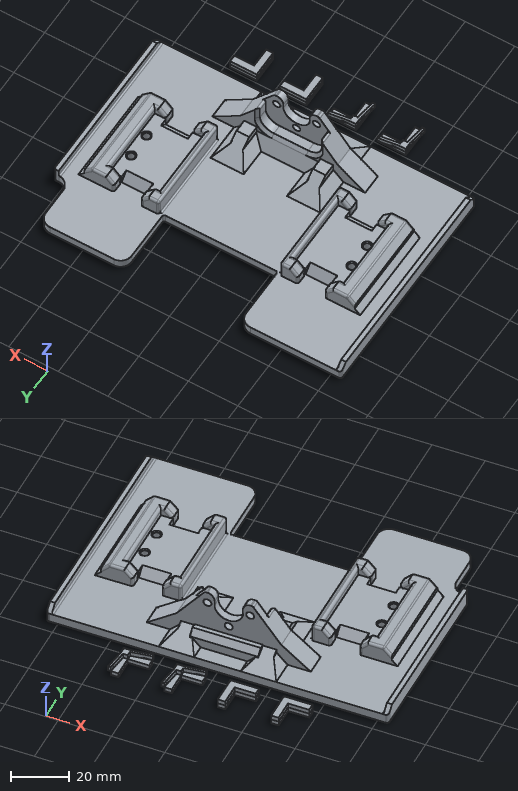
import cadquery as cq
import math


plate_half_width = 64.2
plate_depth = 87.3
plate_top = 3.66
plate_corner = 1.0
slot_half_width = 23.07
slot_floor_y = 62.2
slot_corner = 0.8
tab_radius = 4.5
right_tab_x = 57.8
step_y = 67.1

rail_top = 6.4
rail_width = 1.9
rail_end_slope = 3.1
rail_root_radius = 0.6

clamp_top = 10.47
clamp_half_length = 19.4
clamp_rise = 3.1
clamp_inner_x = 24.48
clamp_inner_tip_x = 31.7
clamp_outer_tip_x = 42.5
clamp_ledge_x = 54.6
ledge_bottom = 5.9
ledge_top = 7.52
clamp_round = 0.96
clamp_root_radius = 0.6

pocket_near_x = 27.05
pocket_far_x = 47.1
pocket_half_length = 14.45
pocket_round = 1.22
pad_top = 6.87
pad_hole_x = 44.53
pad_hole_pitch = 10.0
pad_hole_diameter = 2.8
pad_hole_mouth = 3.7

bracket_front = 9.57
bracket_web_back = 12.79
bracket_back = 17.9
bracket_top = 26.0
bracket_foot_x = 30.8
bracket_kink_x = 19.7
bracket_kink_z = 12.1
bracket_apex_x = 9.0
apex_round = 1.0
horn_round = 2.76
mount_z = 21.3
mount_radius = 8.03
mount_hole_diameter = 3.0
mount_opening_radius = 5.33
recess_half_width = 12.5
recess_round = 5.5
recess_chamfer = 1.35
shoulder_round = 0.6

gusset_inner_x = 12.8
gusset_outer_x = 18.0
gusset_flare = 4.1
gusset_top = 10.47
gusset_crest_front = 11.8
gusset_crest_back = 22.9
gusset_back = 33.2
tie_top = 9.57
tie_front = 5.5
tie_chamfer = 2.25
buttress_foot_y = 21.7

corner_count = 4
corner_first_x = -32.8
corner_pitch = 20.0
corner_back_y = -5.4
corner_size = 10.8
corner_arm = 2.8
corner_layer = 1.8
spring_count = 2
spring_thickness = 1.0
spring_splay = 1.09

TOLERANCE = 0.01

clamp_center_y = plate_depth / 2
arm_tip_z = clamp_top - clamp_rise
pad_height = pad_top - plate_top


def box(x0, x1, y0, y1, z0, z1):
    """Box between two opposite corners."""
    return cq.Workplane("XY").box(x1 - x0, y1 - y0, z1 - z0, centered=False).translate((x0, y0, z0))


def prism_along_y(points, y0, y1):
    """Extrude an X-Z outline from y0 to y1."""
    return cq.Workplane("XZ").polyline(points).close().extrude(y0 - y1).translate((0, y0, 0))


def prism_along_x(points, x0, x1):
    """Extrude a Y-Z outline from x0 to x1."""
    return cq.Workplane("YZ").polyline(points).close().extrude(x1 - x0).translate((x0, 0, 0))


def mirrored_pair(shape):
    """A shape together with its mirror image about X = 0."""
    return shape.union(shape.mirror("YZ"))


def root_fillet_profile(wall_x, side, radius):
    """X-Z profile of the concave fillet between the plate and a wall facing the given side."""
    arc_offset = side * radius * (1 - math.sqrt(0.5))
    return (
        cq.Workplane("XZ")
        .moveTo(wall_x, plate_top)
        .lineTo(wall_x + side * radius, plate_top)
        .threePointArc((wall_x + arc_offset, plate_top + abs(arc_offset)), (wall_x, plate_top + radius))
        .close()
    )


def round_uprights(solid, corners, radius):
    """Fillet the vertical edges that stand on the given X-Y corners."""
    height = solid.val().BoundingBox().zmax
    for x, y in corners:
        solid = solid.edges(cq.selectors.NearestToPointSelector((x, y, height / 2))).fillet(radius)
    return solid


def make_plate(height):
    """The plate outline, extruded from the underside to the given height."""
    back_corners = [
        (plate_half_width, step_y),
        (right_tab_x, step_y),
        (right_tab_x, plate_depth),
        (slot_half_width, plate_depth),
        (slot_half_width, slot_floor_y),
        (-slot_half_width, slot_floor_y),
        (-slot_half_width, plate_depth),
        (-plate_half_width, plate_depth),
    ]
    front_corners = [(-plate_half_width, 0), (plate_half_width, 0)]
    plate = cq.Workplane("XY").polyline(front_corners + back_corners).close().extrude(height)
    step, tab, tab_left, slot_right, slot_left, tab_right = back_corners[1:-1]
    plate = round_uprights(plate, [step, tab, tab_left, tab_right], tab_radius)
    plate = round_uprights(plate, [slot_right, slot_left], slot_corner)
    return round_uprights(plate, front_corners + [back_corners[0], back_corners[-1]], plate_corner)


def make_rails():
    """Rails along both sides with filleted roots, sloped down at the plate's front and back edges."""
    inner_x = plate_half_width - rail_width
    rail = box(inner_x, plate_half_width, 0, plate_depth, plate_top, rail_top)
    root = root_fillet_profile(inner_x, -1, rail_root_radius).extrude(-plate_depth)
    slope = [
        (0, plate_top),
        (rail_end_slope, rail_top),
        (plate_depth - rail_end_slope, rail_top),
        (plate_depth, plate_top),
    ]
    sloped_ends = prism_along_x(slope, -plate_half_width, plate_half_width)
    return mirrored_pair(rail.union(root)).intersect(sloped_ends).intersect(make_plate(rail_top))


def round_jaw(jaw, tip_x, pocket_x):
    """Round the pocket rim of a jaw, then its end faces and its long outer top edge."""

    def at(value, target):
        return abs(value - target) < TOLERANCE

    def on_rim(c):
        along_arm = at(abs(c.y), pocket_half_length) and not at(c.x, pocket_x) and c.z > pad_top
        arm_corner = at(abs(c.y), pocket_half_length) and at(c.x, tip_x)
        along_wall = at(c.x, pocket_x) and at(c.z, clamp_top)
        return along_arm or arm_corner or along_wall

    def on_end(c):
        end_face = at(abs(c.y), clamp_half_length) and c.z > plate_top + TOLERANCE
        above_ledge = c.x < clamp_ledge_x - TOLERANCE
        long_edge = at(c.y, 0) and at(c.z, clamp_top) and abs(c.x - pocket_x) > pocket_round + TOLERANCE
        return (end_face and above_ledge) or long_edge

    for chosen, radius in ((on_rim, pocket_round), (on_end, clamp_round)):
        edges = [edge for edge in jaw.edges().vals() if chosen(edge.Center())]
        jaw = jaw.newObject(edges).fillet(radius)
    return jaw


def make_clamp():
    """Two facing C-shaped jaws around a raised pad."""
    inner_profile = [
        (clamp_inner_x, plate_top),
        (clamp_inner_x, clamp_top),
        (clamp_inner_tip_x - clamp_rise, clamp_top),
        (clamp_inner_tip_x, arm_tip_z),
        (clamp_inner_tip_x, plate_top),
    ]
    outer_profile = [
        (clamp_outer_tip_x, plate_top),
        (clamp_outer_tip_x, arm_tip_z),
        (clamp_outer_tip_x + clamp_rise, clamp_top),
        (clamp_ledge_x - (clamp_top - ledge_top), clamp_top),
        (clamp_ledge_x, ledge_top),
        (clamp_ledge_x, ledge_bottom),
        (clamp_ledge_x + ledge_bottom - plate_top, plate_top),
    ]
    pocket = box(
        pocket_near_x, pocket_far_x, -pocket_half_length, pocket_half_length, plate_top, clamp_top
    )
    clamp = make_pad()
    for profile, tip_x, pocket_x in (
        (inner_profile, clamp_inner_tip_x, pocket_near_x),
        (outer_profile, clamp_outer_tip_x, pocket_far_x),
    ):
        jaw = prism_along_y(profile, -clamp_half_length, clamp_half_length).cut(pocket)
        clamp = clamp.union(round_jaw(jaw, tip_x, pocket_x))
    straight_length = 2 * (clamp_half_length - clamp_round)
    root = root_fillet_profile(clamp_inner_x, -1, clamp_root_radius).extrude(straight_length / 2, both=True)
    clamp = clamp.union(root)
    return clamp.translate((0, clamp_center_y, 0))


def make_pad():
    """Raised floor of the pocket, ramped down to the plate between the arm tips."""
    pad = box(pocket_near_x, pocket_far_x, -pocket_half_length, pocket_half_length, plate_top, pad_top)
    for side in (-1, 1):
        ramp_cut = [
            (side * pocket_half_length, plate_top),
            (side * pocket_half_length, pad_top),
            (side * (pocket_half_length - pad_height), pad_top),
        ]
        pad = pad.cut(prism_along_x(ramp_cut, clamp_inner_tip_x, clamp_outer_tip_x))
    return pad


def make_pad_holes():
    """Two screw holes with countersunk mouths through the pad and the plate."""
    mouth_depth = (pad_hole_mouth - pad_hole_diameter) / 2
    holes = cq.Workplane("XY")
    for side in (-1, 1):
        center = (pad_hole_x, clamp_center_y + side * pad_hole_pitch / 2, 0)
        drill = cq.Solid.makeCylinder(pad_hole_diameter / 2, pad_top)
        mouth = cq.Solid.makeCone(
            pad_hole_diameter / 2, pad_hole_mouth / 2, mouth_depth, cq.Vector(0, 0, pad_top - mouth_depth)
        )
        holes = holes.add(drill.fuse(mouth).translate(cq.Vector(*center)))
    return holes.combine()


def make_bracket():
    """Thin front web with the mounting opening, backed by a block with a wide recess."""
    slope = (bracket_top - bracket_kink_z) / (bracket_kink_x - bracket_apex_x)
    shoulder_z = bracket_kink_z + slope * (bracket_kink_x - recess_half_width)
    outline = [
        (-bracket_foot_x, plate_top),
        (-bracket_kink_x, bracket_kink_z),
        (-bracket_apex_x, bracket_top),
        (bracket_apex_x, bracket_top),
        (bracket_kink_x, bracket_kink_z),
        (bracket_foot_x, plate_top),
    ]
    web = prism_along_y(outline, bracket_front, bracket_web_back).cut(make_mount_opening())
    web = round_peaks(web, bracket_apex_x, bracket_top, apex_round)
    web = round_peaks(web, mount_opening_radius, bracket_top, horn_round)
    block = prism_along_y(outline, bracket_web_back, bracket_back).cut(make_rear_recess())
    block = round_peaks(block, recess_half_width, shoulder_z, shoulder_round)
    return web.union(block.cut(make_recess_flare())).cut(make_mount_holes())


def round_peaks(solid, x, z, radius):
    """Round the two edges along Y that stand at +-x and height z."""
    bounds = solid.val().BoundingBox()
    middle_y = (bounds.ymin + bounds.ymax) / 2
    for peak_x in (-x, x):
        peak = cq.selectors.NearestToPointSelector((peak_x, middle_y, z))
        solid = solid.edges(peak).fillet(radius)
    return solid


def make_mount_opening():
    """U-shaped opening around the mounting axis, open at the top."""
    radius = mount_opening_radius
    return (
        cq.Workplane("XZ")
        .moveTo(-radius, bracket_top)
        .lineTo(-radius, mount_z)
        .threePointArc((0, mount_z - radius), (radius, mount_z))
        .lineTo(radius, bracket_top)
        .close()
        .extrude(-bracket_web_back)
    )


def make_mount_holes():
    """Three screw holes on the mounting circle: left, right and below its axis."""
    centers = [(-mount_radius, mount_z), (mount_radius, mount_z), (0, mount_z - mount_radius)]
    return cq.Workplane("XZ").pushPoints(centers).circle(mount_hole_diameter / 2).extrude(-bracket_web_back)


def recess_outline(margin):
    """X-Z outline of the rear recess, widened evenly by a margin and open above the bracket."""
    half_width = recess_half_width + margin
    floor = tie_top - margin
    radius = recess_round + margin
    bend = radius * (1 - math.sqrt(0.5))
    return (
        cq.Workplane("XZ")
        .moveTo(-half_width, bracket_top)
        .lineTo(-half_width, floor + radius)
        .threePointArc((bend - half_width, floor + bend), (radius - half_width, floor))
        .lineTo(half_width - radius, floor)
        .threePointArc((half_width - bend, floor + bend), (half_width, floor + radius))
        .lineTo(half_width, bracket_top)
        .close()
    )


def make_rear_recess():
    """Recess behind the web, with a round-cornered floor."""
    depth = bracket_back - bracket_web_back
    return recess_outline(0).extrude(-depth).translate((0, bracket_web_back, 0))


def make_recess_flare():
    """Chamfer around the rear rim of the recess."""
    flare = recess_outline(recess_chamfer).extrude(recess_chamfer, taper=45)
    return flare.translate((0, bracket_back, 0))


def make_gusset():
    """Ridge on the +X side: flared at its foot and sloped down to the front and the back."""
    flare_top = plate_top + gusset_flare
    section = [
        (gusset_inner_x - gusset_flare, plate_top),
        (gusset_inner_x, flare_top),
        (gusset_inner_x, gusset_top),
        (gusset_outer_x, gusset_top),
        (gusset_outer_x, flare_top),
        (gusset_outer_x + gusset_flare, plate_top),
    ]
    ridge = [
        (0, plate_top),
        (gusset_crest_front, gusset_top),
        (gusset_crest_back, gusset_top),
        (gusset_back, plate_top),
    ]
    outer_foot = gusset_outer_x + gusset_flare
    return prism_along_y(section, 0, gusset_back).intersect(prism_along_x(ridge, 0, outer_foot))


def make_tie_bar():
    """Bar between the gussets in front of the bracket, chamfered along its front top edge."""
    profile = [
        (tie_front, plate_top),
        (tie_front, tie_top - tie_chamfer),
        (tie_front + tie_chamfer, tie_top),
        (bracket_front, tie_top),
        (bracket_front, plate_top),
    ]
    return prism_along_x(profile, -gusset_inner_x, gusset_inner_x)


def make_buttress():
    """Sloped wedge between the gussets behind the bracket."""
    profile = [
        (bracket_back, plate_top),
        (bracket_back, tie_top - recess_chamfer),
        (buttress_foot_y, plate_top),
    ]
    return prism_along_x(profile, -gusset_inner_x, gusset_inner_x)


def make_tray():
    """Plate with its rails, clamps, bracket and gussets, all one solid."""
    tray = make_plate(plate_top).union(make_rails())
    tray = tray.union(mirrored_pair(make_clamp())).cut(mirrored_pair(make_pad_holes()))
    tray = tray.union(make_bracket()).union(mirrored_pair(make_gusset()))
    return tray.union(make_tie_bar()).union(make_buttress())


def corner_x(index):
    """Left side of the corner piece with the given index."""
    return corner_first_x + index * corner_pitch


def make_corner(index, bottom):
    """Flat L-shaped piece with its outer corner at the upper left."""
    x, y = corner_x(index), corner_back_y
    outer = box(x, x + corner_size, y - corner_size, y, bottom, bottom + corner_layer)
    inner = box(
        x + corner_arm, x + corner_size, y - corner_size, y - corner_arm, bottom, bottom + corner_layer
    )
    return outer.cut(inner)


def make_spring_corner(index, bottom):
    """Corner block with two thin arms that splay outwards to their free ends."""
    x, y = corner_x(index), corner_back_y
    end_x = x + corner_size
    end_y = y - corner_size
    block = box(x, x + corner_arm, y - corner_arm, y, bottom, bottom + corner_layer)
    back_arm = [
        (x + corner_arm, y),
        (end_x, y + spring_splay),
        (end_x, y + spring_splay - spring_thickness),
        (x + corner_arm, y - spring_thickness),
    ]
    side_arm = [
        (x, y - corner_arm),
        (x - spring_splay, end_y),
        (x - spring_splay + spring_thickness, end_y),
        (x + spring_thickness, y - corner_arm),
    ]
    for arm in (back_arm, side_arm):
        solid_arm = cq.Workplane("XY").polyline(arm).close().extrude(corner_layer)
        block = block.union(solid_arm.translate((0, 0, bottom)))
    return block


tray = make_tray()
corner_bases = [make_corner(i, 0) for i in range(corner_count)]
spring_corners = [make_spring_corner(i, corner_layer) for i in range(spring_count)]
corner_caps = [make_corner(i, corner_layer) for i in range(spring_count, corner_count)]

bodies = [tray] + corner_bases + spring_corners + corner_caps
result = cq.Compound.makeCompound([body.val() for body in bodies])